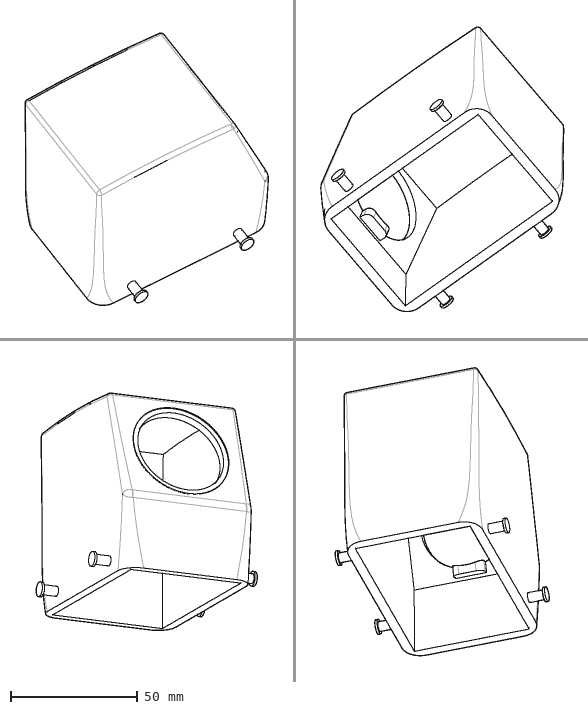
import cadquery as cq
import math

length = 82.0
width = 56.0
height = 76.9
wall = 4.0

front_base_y = -length / 2
back_base_y = length / 2
front_top = (-40.2, 75.1)
crown = (-4.9, height)
ridge = (24.1, 75.8)
knee = (40.7, 30.3)
knee_radius = 9.8
top_fillet = 1.6

corner_end = height + 1.6
front_corner = [(0, 7.6), (7.4, 4.9), (14.8, 3.5), (41, 2.55), (corner_end, 1.6)]
back_corner = [(0, 7.6), (14.8, 4.9), (knee[1], 3.1)]
slope_corner = [(knee[1], 3.1), (53.3, 2.2), (corner_end, 1.6)]

entry_y = 32.5
bore_diameter = 37.1
rim_diameter = 41.25
rim_depth = 0.5

tab_width = 12.95
tab_reach = 5.0
tab_thickness = 3.3
tab_corner = 2.9

pin_span = 71.0
pin_spacing = 49.5
pin_height = 6.15
pin_diameter = 4.0
pin_head_diameter = 6.0
pin_head_thickness = 1.0


def y_on_line(start, end, z):
    """Y at height z on the straight line through two (y, z) points."""
    return start[0] + (end[0] - start[0]) * (z - start[1]) / (end[1] - start[1])


def make_shell():
    """Prism of the side profile, hollow and open underneath."""
    prism = (
        cq.Workplane("YZ")
        .moveTo(front_base_y, 0)
        .lineTo(*front_top)
        .threePointArc(crown, ridge)
        .lineTo(*knee)
        .lineTo(back_base_y, 0)
        .close()
        .extrude(width / 2, both=True)
    )
    return prism.faces("<Z").shell(-wall, kind="intersection")


def corner_cutter(start, end, sections, inward):
    """Material outside the rounding of the +X edge running along a line of (y, z) points."""
    x = width / 2
    wires = []
    for z, radius in sections:
        y = y_on_line(start, end, z)
        centre_x = x - radius
        centre_y = y + inward * radius
        middle = radius * math.sqrt(0.5)
        section = (
            cq.Workplane("XY", origin=(0, 0, z))
            .moveTo(x, y)
            .lineTo(x, centre_y)
            .threePointArc((centre_x + middle, centre_y - inward * middle), (centre_x, y))
            .close()
        )
        wires.append(section.val())
    return cq.Workplane(cq.Solid.makeLoft(wires))


def round_corners(body):
    """Round the upright corners and both edges of the sloping face."""
    front_start = (front_base_y, 0)
    back_start = (back_base_y, 0)
    cutters = [
        corner_cutter(front_start, front_top, front_corner, 1),
        corner_cutter(back_start, knee, back_corner, -1),
        corner_cutter(knee, ridge, slope_corner, -1),
    ]
    for cutter in cutters:
        body = body.cut(cutter).cut(cutter.mirror("YZ"))
    return body


def round_upper_edges(body):
    """Round the knee first, then every edge around the crowned top."""
    knee_edge = cq.selectors.NearestToPointSelector((0, *knee))
    body = body.edges(knee_edge).fillet(knee_radius)
    top_face = cq.selectors.NearestToPointSelector((0, *crown))
    return body.faces(top_face).edges().fillet(top_fillet)


def add_cable_entry(body):
    """Bore with a shallow rim recess, and the tab inside its lower edge."""
    slope_run = knee[0] - ridge[0]
    slope_rise = ridge[1] - knee[1]
    z_on_slope = knee[1] + slope_rise * (knee[0] - entry_y) / slope_run
    face = cq.Workplane(
        cq.Plane(
            origin=(0, entry_y, z_on_slope),
            xDir=(1, 0, 0),
            normal=(0, slope_rise, slope_run),
        )
    )
    tab_depth = wall + tab_reach
    bore_radius = bore_diameter / 2
    tab = (
        face.workplane(offset=-wall / 2)
        .center(0, bore_radius)
        .rect(tab_width, 2 * tab_thickness)
        .extrude(wall / 2 - tab_depth)
    )
    tip_x = tab_width / 2
    for side in (-tip_x, tip_x):
        corner = face.plane.toWorldCoords((side, bore_radius, -tab_depth))
        tab = tab.edges(cq.selectors.NearestToPointSelector(corner)).fillet(tab_corner)
    bore = face.circle(bore_radius).extrude(-tab_depth)
    rim = face.circle(rim_diameter / 2).extrude(-rim_depth)
    return body.union(tab).cut(bore).cut(rim)


def make_pin(y):
    """Headed pin on the +X side, seated in the wall."""
    seat_x = (width - wall) / 2
    shaft = (
        cq.Workplane("YZ", origin=(seat_x, y, pin_height))
        .circle(pin_diameter / 2)
        .extrude(pin_span / 2 - seat_x)
    )
    head = (
        cq.Workplane("YZ", origin=(pin_span / 2, y, pin_height))
        .circle(pin_head_diameter / 2)
        .extrude(-pin_head_thickness)
    )
    return shaft.union(head)


def add_pins(body):
    for y in (-pin_spacing / 2, pin_spacing / 2):
        pin = make_pin(y)
        body = body.union(pin).union(pin.mirror("YZ"))
    return body


hood = round_upper_edges(round_corners(make_shell()))
result = add_pins(add_cable_entry(hood))